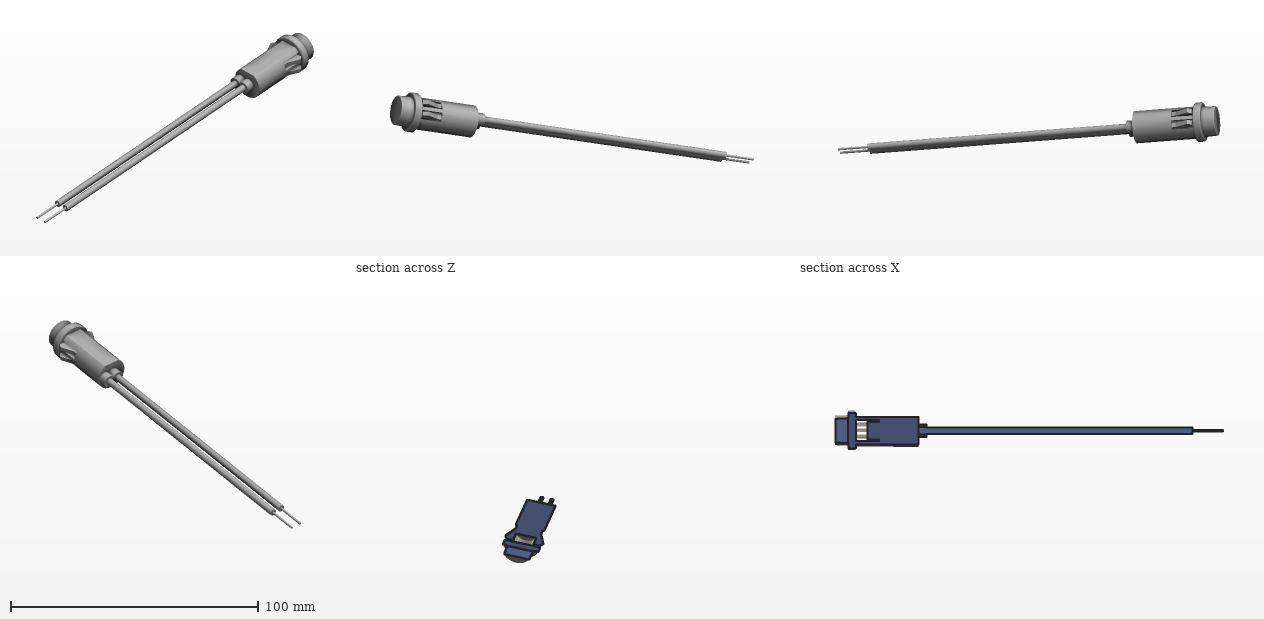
import cadquery as cq


TOTAL_LENGTH = 157.0
LENS_LENGTH = 5.3
FLANGE_LENGTH = 3.1
BARREL_LENGTH = 25.3
GROMMET_LENGTH = 3.3
JACKET_LENGTH = 107.5

LENS_END = TOTAL_LENGTH / 2
FLANGE_FRONT = LENS_END - LENS_LENGTH
FLANGE_BACK = FLANGE_FRONT - FLANGE_LENGTH
BARREL_END = FLANGE_BACK - BARREL_LENGTH
GROMMET_END = BARREL_END - GROMMET_LENGTH
JACKET_END = GROMMET_END - JACKET_LENGTH
WIRE_TIP = LENS_END - TOTAL_LENGTH

LENS_TIP_RADIUS = 6.0
LENS_TAPER = 0.24
LENS_BASE_RADIUS = LENS_TIP_RADIUS + LENS_TAPER
LENS_ROUNDING = 0.3
FLANGE_RADIUS = 8.0
FLANGE_ROUNDING = 0.5
FLANGE_CHAMFER = 0.3
BARREL_RADIUS = 6.6
FLAT_HEIGHT = 5.7

CAVITY_RADIUS = 5.0
CAVITY_LENGTH = 4.5
SLOT_LENGTH = 9.3
SLOT_WIDTH = 3.5
SLOT_SPACING = 1.4
SLOT_OFFSET = (SLOT_SPACING + SLOT_WIDTH) / 2
TAB_WIDTH = 1.7
TAB_INNER = 4.2
TAB_STEM = 5.5
TAB_NOSE = 7.0
TAB_REACH = 8.2
TAB_GAP = 0.5
TAB_TIP_DROP = 2.2
TAB_RAMP_DROP = 7.5

WIRE_PITCH = 4.2
WIRE_PAIR_CENTER = -1.45
WIRE_XS = [WIRE_PAIR_CENTER - WIRE_PITCH / 2, WIRE_PAIR_CENTER + WIRE_PITCH / 2]
SLEEVE_DIAMETER = 5.2
SLEEVE_RADIUS = SLEEVE_DIAMETER / 2
JACKET_RADIUS = 1.4
CONDUCTOR_RADIUS = 0.5


def rod(radius, y_from, y_to, x=0.0):
    """Cylinder parallel to Y, running from y_from down to y_to."""
    return cq.Workplane("XZ", origin=(x, y_from, 0)).circle(radius).extrude(y_from - y_to)


def make_lens():
    """Slightly tapered round cap standing on the flange."""
    profile = [
        (0, FLANGE_FRONT),
        (LENS_BASE_RADIUS, FLANGE_FRONT),
        (LENS_TIP_RADIUS, LENS_END),
        (0, LENS_END),
    ]
    lens = cq.Workplane("XY").polyline(profile).close().revolve(360, (0, 0, 0), (0, 1, 0))
    return lens.faces(">Y").edges().fillet(LENS_ROUNDING)


def make_barrel():
    """Round barrel with one flat along its top."""
    barrel = rod(BARREL_RADIUS, FLANGE_BACK, BARREL_END)
    above_flat = (
        cq.Workplane("XY", origin=(0, (FLANGE_BACK + BARREL_END) / 2, FLAT_HEIGHT))
        .box(2 * BARREL_RADIUS, BARREL_LENGTH, BARREL_RADIUS, centered=(True, True, False))
    )
    return barrel.cut(above_flat)


def make_slot_cutter(height):
    """Pair of slots through the left and right wall, leaving the core inside them."""
    bar = (
        cq.Workplane("XY", origin=(0, FLANGE_BACK - SLOT_LENGTH / 2, height))
        .box(2 * FLANGE_RADIUS, SLOT_LENGTH, SLOT_WIDTH)
    )
    return bar.cut(rod(CAVITY_RADIUS, FLANGE_BACK, BARREL_END))


def make_tab(side, height):
    """Barbed snap tab; side is +1 or -1 along X."""
    profile = [
        (TAB_INNER, FLANGE_BACK - SLOT_LENGTH),
        (TAB_STEM, FLANGE_BACK - SLOT_LENGTH),
        (TAB_STEM, FLANGE_BACK - TAB_RAMP_DROP),
        (TAB_REACH, FLANGE_BACK - TAB_TIP_DROP),
        (TAB_NOSE, FLANGE_BACK - TAB_GAP),
        (TAB_INNER, FLANGE_BACK - TAB_GAP),
    ]
    return (
        cq.Workplane("XY", origin=(0, 0, height - TAB_WIDTH / 2))
        .polyline([(side * x, y) for x, y in profile])
        .close()
        .extrude(TAB_WIDTH)
    )


def make_housing():
    """Flange and barrel, hollow behind the snap tabs."""
    flange = rod(FLANGE_RADIUS, FLANGE_FRONT, FLANGE_BACK)
    flange = flange.faces(">Y").edges().fillet(FLANGE_ROUNDING)
    flange = flange.faces("<Y").edges().chamfer(FLANGE_CHAMFER)
    housing = flange.union(make_barrel())
    housing = housing.cut(rod(CAVITY_RADIUS, FLANGE_BACK, FLANGE_BACK - CAVITY_LENGTH))
    for height in (-SLOT_OFFSET, SLOT_OFFSET):
        housing = housing.cut(make_slot_cutter(height))
        for side in (-1, 1):
            housing = housing.union(make_tab(side, height))
    return housing


def make_grommet():
    """Two merged sleeves against the end of the barrel, bored for the wires."""
    left_x, right_x = WIRE_XS
    grommet = rod(SLEEVE_RADIUS, BARREL_END, GROMMET_END, left_x)
    grommet = grommet.union(rod(SLEEVE_RADIUS, BARREL_END, GROMMET_END, right_x))
    for x in WIRE_XS:
        grommet = grommet.cut(rod(JACKET_RADIUS, BARREL_END, GROMMET_END, x))
    return grommet


def make_wire(x):
    """Jacketed lead with a bare conductor end."""
    jacket = rod(JACKET_RADIUS, BARREL_END, JACKET_END, x)
    return jacket.union(rod(CONDUCTOR_RADIUS, JACKET_END, WIRE_TIP, x))


lens = make_lens()
housing = make_housing()
grommet = make_grommet()
wires = [make_wire(x).val() for x in WIRE_XS]

result = cq.Compound.makeCompound([lens.val(), housing.val(), grommet.val(), *wires])